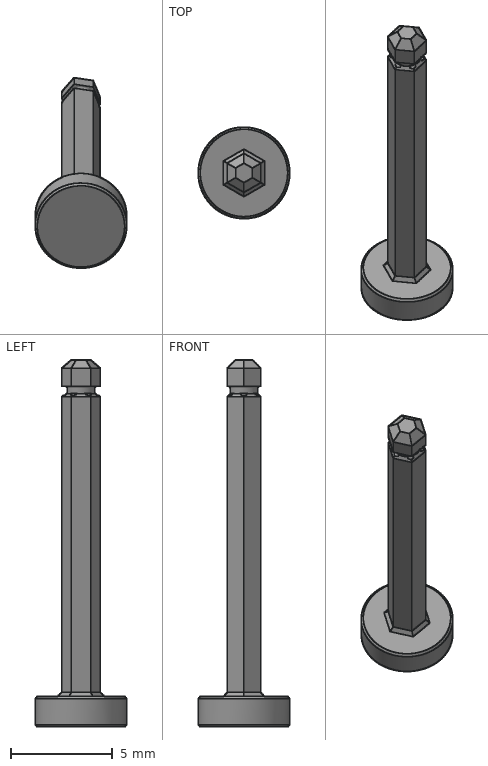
import cadquery as cq
import math

total_height = 18.0
head_diameter = 4.5
head_height = 1.5
head_chamfer = 0.1

across_flats = 1.65
foot_height = 0.2
foot_flare = 0.18
shoulder_height = 16.18
shoulder_bevel = 0.18

neck_diameter = 1.37
neck_bottom = 16.27
lower_fillet = 0.15
upper_fillet = 0.09
neck_top = 16.7

tip_bevel = 0.41


def hexagon(flats, height):
    """Closed hexagonal outline with corners on the Y axis."""
    corner_radius = flats / math.sqrt(3)
    points = []
    for side in range(6):
        angle = math.radians(30 + 60 * side)
        points.append((corner_radius * math.cos(angle), corner_radius * math.sin(angle)))
    return cq.Workplane("XY").workplane(offset=height).polyline(points).close()


def hex_prism(flats, bottom, top):
    return hexagon(flats, bottom).extrude(top - bottom)


def hex_taper(bottom_flats, bottom, height, inset):
    """Hexagonal frustum whose flats slope inward by the inset."""
    slope = math.degrees(math.atan2(inset, height))
    return hexagon(bottom_flats, bottom).extrude(height, taper=slope)


def make_head():
    head = cq.Workplane("XY").circle(head_diameter / 2).extrude(head_height)
    return head.faces("<Z or >Z").chamfer(head_chamfer)


def make_shaft():
    foot_flats = across_flats + 2 * foot_flare
    foot = hex_taper(foot_flats, head_height, foot_height, foot_flare)
    prism = hex_prism(across_flats, head_height, shoulder_height)
    return prism.union(foot)


def make_tip():
    bevel_bottom = total_height - tip_bevel
    prism = hex_prism(across_flats, neck_top, bevel_bottom)
    return prism.union(hex_taper(across_flats, bevel_bottom, tip_bevel, tip_bevel))


def make_flare(end_height, direction, fillet):
    """Solid of revolution from the neck axis to a concave fillet that widens toward end_height."""
    neck_radius = neck_diameter / 2
    inset = fillet * (1 - math.sqrt(0.5))
    narrow_height = end_height + direction * fillet
    profile = (
        cq.Workplane("XZ")
        .moveTo(0, end_height)
        .lineTo(neck_radius + fillet, end_height)
        .threePointArc(
            (neck_radius + inset, end_height + direction * inset),
            (neck_radius, narrow_height),
        )
        .lineTo(0, narrow_height)
        .close()
    )
    return profile.revolve(360, (0, 0, 0), (0, 1, 0))


def make_neck():
    """Bevelled shoulder trimmed by the lower flare, then the round neck."""
    bevel = hex_taper(across_flats, shoulder_height, shoulder_bevel, shoulder_bevel)
    bevel_base = bevel.intersect(hex_prism(across_flats, shoulder_height, neck_bottom))
    lower_flare = make_flare(neck_bottom, 1, lower_fillet).intersect(bevel)
    upper_flare = make_flare(neck_top, -1, upper_fillet)
    core = cq.Workplane("XY").workplane(offset=shoulder_height).circle(neck_diameter / 2)
    core = core.extrude(neck_top - shoulder_height)
    return core.union(bevel_base).union(lower_flare).union(upper_flare)


result = make_head().union(make_shaft()).union(make_neck()).union(make_tip())